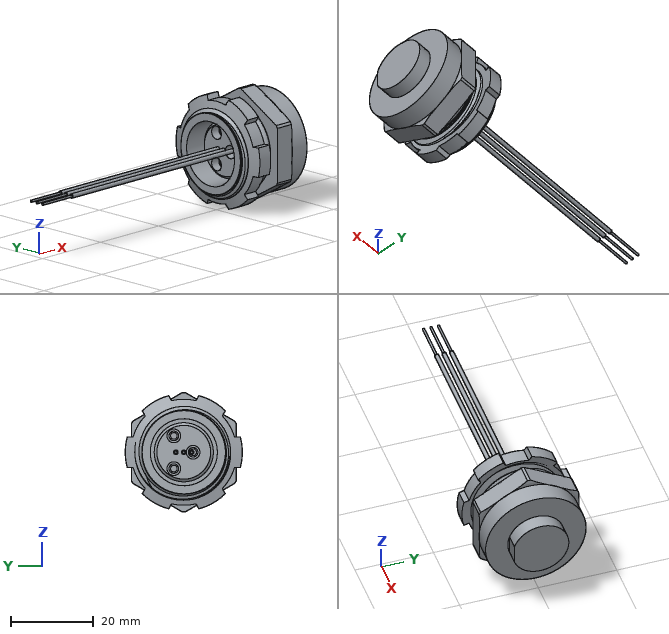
import cadquery as cq
import math


REAR_X = -10.1
HEX_LENGTH = 5.1
HEX_ACROSS_FLATS = 25.35
HEX_ACROSS_CORNERS = 28.85
HEX_CHAMFER_LENGTH = 0.25
HEX_CHAMFER_HEIGHT = 0.9
COLLAR_DIAMETER = 25.6
COLLAR_END_X = 10.15
BORE_RADIUS = 8.1

CORE_RADIUS = 10.15
CREST_RADIUS = 11.85
THREAD_PITCH = 1.6
THREAD_OVERRUN = 1.5
RIDGE_BASE = 1.5
RIDGE_ROOT_SINK = 0.2
REAR_END_RADIUS = 10.05
REAR_TAPER_LENGTH = 2.1
THREAD_END_X = -2.3

RING_SECTION_RADIUS = 1.0
RING_PITCH_RADIUS = 10.0

NUT_DIAMETER = 28.35
NUT_NOTCH_RADIUS = 12.8
NUT_LOBE_COUNT = 6
NUT_LOBE_WIDTH = 7.4
NUT_RIM_REAR_X = -7.55
NUT_RIM_FRONT_X = -3.8
NUT_REAR_DISH = 0.3
NUT_FRONT_DISH = 0.2

INSERT_RADIUS = 7.15
INSERT_CHAMFER = 0.65
INSERT_REAR_X = -5.6
INSERT_FRONT_X = 13.9
KEY_FLAT_Y = -6.7
CONTACT_POSITIONS = [(2.4, 3.95), (2.4, -3.95), (-2.25, 0.0)]
CAVITY_RADIUS = 1.65
CONTACT_RADIUS = 1.15
CUP_RADIUS = 0.8
CAVITY_DEPTH = 4.0
CONTACT_RECESS = 2.0

OVERALL_LENGTH = 83.95
WIRE_TIP_X = INSERT_FRONT_X - OVERALL_LENGTH
STRIPPED_LENGTH = 10.0
WIRE_RADIUS = 0.55
CONDUCTOR_RADIUS = 0.3
WIRE_SPACING = 1.9


def cylinder(radius, start_x, end_x, y=0.0, z=0.0):
    """Round bar parallel to X."""
    return (
        cq.Workplane("YZ", origin=(start_x, 0, 0))
        .center(y, z)
        .circle(radius)
        .extrude(end_x - start_x)
    )


def turned(points):
    """Turn an (x, radius) outline about the X axis."""
    return cq.Workplane("XY").polyline(points).close().revolve(360, (0, 0, 0), (1, 0, 0))


def make_sealing_ring():
    """O-ring lying against the rear face of the hex."""
    centre_x = -RING_SECTION_RADIUS
    section = cq.Workplane("XY").center(centre_x, RING_PITCH_RADIUS).circle(RING_SECTION_RADIUS)
    return section.revolve(360, (0, -RING_PITCH_RADIUS, 0), (1, -RING_PITCH_RADIUS, 0))


def make_thread():
    """Right-handed V ridge, trimmed by a tapered envelope at both ends."""
    start_x = REAR_X - THREAD_OVERRUN
    length = THREAD_END_X - start_x + THREAD_OVERRUN
    root_radius = CORE_RADIUS - RIDGE_ROOT_SINK
    helix = cq.Wire.makeHelix(THREAD_PITCH, length, root_radius)
    ridge = (
        cq.Workplane("XZ")
        .polyline([
            (root_radius, -RIDGE_BASE / 2),
            (CREST_RADIUS, 0),
            (root_radius, RIDGE_BASE / 2),
        ])
        .close()
        .sweep(cq.Workplane(helix), isFrenet=True)
    )
    ridge = ridge.rotate((0, 0, 0), (0, 1, 0), 90).translate((start_x, 0, 0))
    front_taper = CREST_RADIUS - CORE_RADIUS
    envelope = turned([
        (REAR_X, 0),
        (REAR_X, REAR_END_RADIUS),
        (REAR_X + REAR_TAPER_LENGTH, CREST_RADIUS),
        (THREAD_END_X - front_taper, CREST_RADIUS),
        (THREAD_END_X, CORE_RADIUS),
        (THREAD_END_X, 0),
    ])
    return ridge.intersect(envelope)


def make_hex():
    """Hex flange with two corners on Z, its corners rounded and chamfered at the front."""
    corner_circle = HEX_ACROSS_FLATS / math.cos(math.pi / 6)
    prism = (
        cq.Workplane("YZ")
        .polygon(6, corner_circle)
        .extrude(HEX_LENGTH)
        .rotate((0, 0, 0), (1, 0, 0), 90)
    )
    corner_radius = HEX_ACROSS_CORNERS / 2
    rounding = turned([
        (0, 0),
        (0, corner_radius),
        (HEX_LENGTH - HEX_CHAMFER_LENGTH, corner_radius),
        (HEX_LENGTH, corner_radius - HEX_CHAMFER_HEIGHT),
        (HEX_LENGTH, 0),
    ])
    return prism.intersect(rounding)


def make_housing(sealing_ring):
    """Threaded shell with a hex flange, a front collar and a groove that seats the sealing ring."""
    core = turned([
        (REAR_X, 0),
        (REAR_X, REAR_END_RADIUS),
        (REAR_X + CORE_RADIUS - REAR_END_RADIUS, CORE_RADIUS),
        (0, CORE_RADIUS),
        (0, 0),
    ])
    body = core.union(make_thread()).union(make_hex())
    body = body.union(cylinder(COLLAR_DIAMETER / 2, HEX_LENGTH, COLLAR_END_X))
    body = body.cut(cylinder(BORE_RADIUS, REAR_X, 0))
    body = body.cut(cylinder(INSERT_RADIUS, REAR_X, COLLAR_END_X))
    return body.cut(sealing_ring)


def make_nut(housing):
    """Dished nut whose bore is the mating form of the housing thread."""
    rim = NUT_DIAMETER / 2
    drop = rim - CORE_RADIUS
    dished_ring = turned([
        (NUT_RIM_REAR_X - NUT_REAR_DISH * drop, CORE_RADIUS),
        (NUT_RIM_REAR_X, rim),
        (NUT_RIM_FRONT_X, rim),
        (NUT_RIM_FRONT_X - NUT_FRONT_DISH * drop, CORE_RADIUS),
    ])
    plan = cylinder(NUT_NOTCH_RADIUS, REAR_X, 0)
    for index in range(NUT_LOBE_COUNT // 2):
        bar = cq.Workplane("YZ", origin=(REAR_X, 0, 0)).rect(2 * rim, NUT_LOBE_WIDTH).extrude(-REAR_X)
        plan = plan.union(bar.rotate((0, 0, 0), (1, 0, 0), index * 360 / NUT_LOBE_COUNT))
    return dished_ring.intersect(plan).cut(housing)


def make_wire(y, end_x):
    """Insulated wire with a stripped rear end."""
    strip_x = WIRE_TIP_X + STRIPPED_LENGTH
    conductor = cylinder(CONDUCTOR_RADIUS, WIRE_TIP_X, strip_x, y)
    return conductor.union(cylinder(WIRE_RADIUS, strip_x, end_x, y))


def make_insert():
    """Contact insert with three cavities, a keyed front spigot and its three wires."""
    body = cylinder(INSERT_RADIUS, INSERT_REAR_X, INSERT_FRONT_X).faces("<X").chamfer(INSERT_CHAMFER)
    flat_cut = cq.Workplane("XY").box(
        INSERT_FRONT_X - COLLAR_END_X, INSERT_RADIUS, 2 * INSERT_RADIUS, centered=(False, False, True)
    )
    body = body.cut(flat_cut.translate((COLLAR_END_X, KEY_FLAT_Y - INSERT_RADIUS, 0)))
    contact_rear_x = INSERT_REAR_X + CONTACT_RECESS
    cavity_end_x = INSERT_REAR_X + CAVITY_DEPTH
    for y, z in CONTACT_POSITIONS:
        body = body.cut(cylinder(CAVITY_RADIUS, INSERT_REAR_X, cavity_end_x, y, z))
        cup_wall = cylinder(CONTACT_RADIUS, contact_rear_x, cavity_end_x, y, z)
        body = body.union(cup_wall.cut(cylinder(CUP_RADIUS, contact_rear_x, cavity_end_x, y, z)))
    for y in (WIRE_SPACING, 0.0):
        body = body.union(make_wire(y, INSERT_REAR_X))
    return body.union(make_wire(-WIRE_SPACING, cavity_end_x))


sealing_ring = make_sealing_ring()
housing = make_housing(sealing_ring)
nut = make_nut(housing)
insert = make_insert()

result = cq.Compound.makeCompound([housing.val(), nut.val(), sealing_ring.val(), insert.val()])